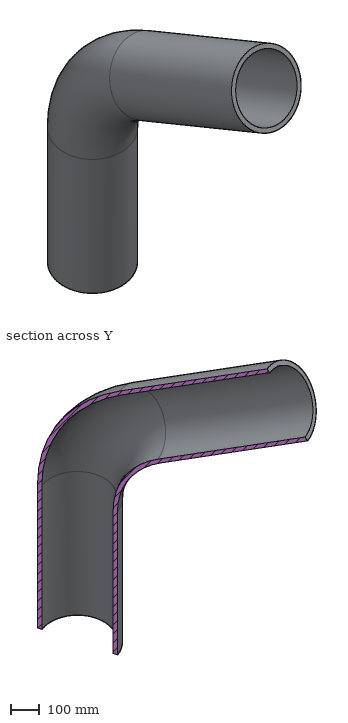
import cadquery as cq
import math

overall_height = 1563.0
outer_diameter = 315.0
inner_diameter = 278.0
bend_radius = 492.0
bend_angle = 60.0

sin_bend = math.sin(math.radians(bend_angle))
cos_bend = math.cos(math.radians(bend_angle))
outer_bend_radius = bend_radius + outer_diameter / 2
leg_length = (overall_height - outer_bend_radius * sin_bend) / (1 + cos_bend)


def elbow_point(angle):
    """Centreline point (X, Z) on the elbow after turning by angle degrees."""
    turn = math.radians(angle)
    x = bend_radius * (1 - math.cos(turn))
    z = leg_length + bend_radius * math.sin(turn)
    return (x, z)


elbow_end = elbow_point(bend_angle)
upper_end = (
    elbow_end[0] + leg_length * sin_bend,
    elbow_end[1] + leg_length * cos_bend,
)
centreline = (
    cq.Workplane("XZ")
    .lineTo(0, leg_length)
    .threePointArc(elbow_point(bend_angle / 2), elbow_end)
    .lineTo(*upper_end)
)

result = (
    cq.Workplane("XY")
    .circle(outer_diameter / 2)
    .circle(inner_diameter / 2)
    .sweep(centreline)
)